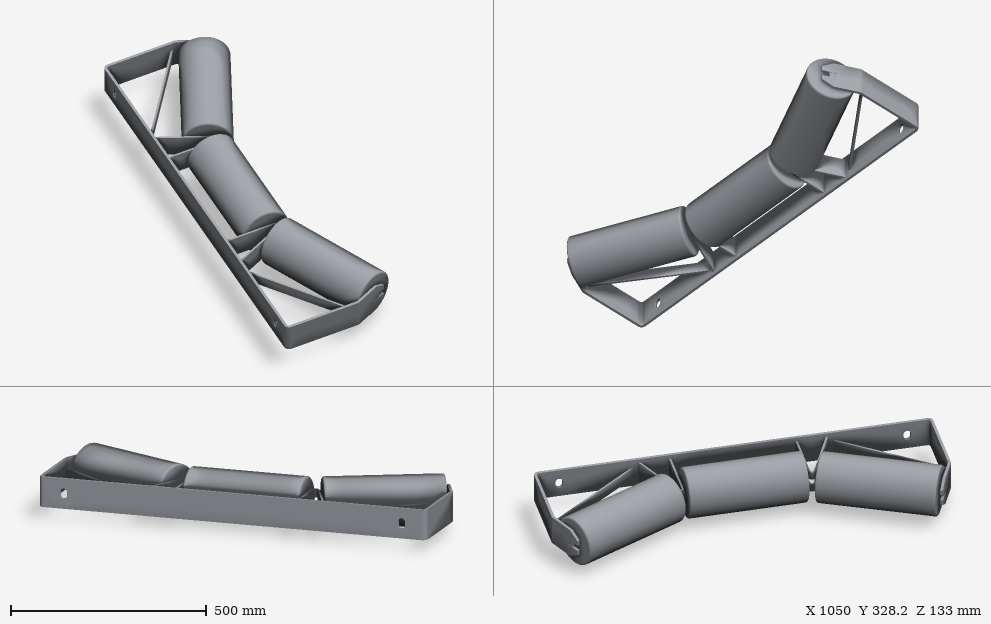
import cadquery as cq
import math

frame_length = 1050.0
frame_width = 80.0
strap_thickness = 7.0
strap_bend_radius = 14.0

roller_length = 315.0
roller_diameter = 133.0
roller_edge_radius = 5.0
tilt = 25.0
middle_roller_y = 125.0
side_roller_x = 339.0
side_roller_y = 203.0

axle_depth = 18.0
axle_width = 16.0
bracket_gap = 6.0
slot_reach = 63.0
slot_depth = 19.0

arm_gap = 5.0
arm_tip = 29.0
arm_corner_length = 30.0
arm_corner_width = 18.0

bracket_thickness = 5.0
bracket_width = 60.0
bracket_bend_radius = 10.0

strut_thickness = 5.0
strut_width = 30.0
strut_foot_x = 262.0
strut_top_y = 197.0

mount_x = 458.0
mount_width = 19.0
mount_height = 27.0

half_length = frame_length / 2
inner_x = half_length - strap_thickness
strap_inner_radius = strap_bend_radius - strap_thickness
seat = roller_length / 2 + bracket_gap
arm_inner = roller_length / 2 + arm_gap
arm_outer = arm_inner + strap_thickness
axle_half_length = seat + bracket_thickness
sin_tilt = math.sin(math.radians(tilt))
cos_tilt = math.cos(math.radians(tilt))


def place_left(part):
    """Move a part from the roller's own axes to the left roller's position."""
    return part.rotate((0, 0, 0), (0, 0, 1), -tilt).translate((-side_roller_x, side_roller_y, 0))


def place_middle(part):
    """Move a part from the roller's own axes to the middle roller's position."""
    return part.translate((0, middle_roller_y, 0))


def left_point(along, across):
    """Point given along and across the left roller's axis."""
    x = -side_roller_x + along * cos_tilt + across * sin_tilt
    y = side_roller_y - along * sin_tilt + across * cos_tilt
    return (x, y)


def mirrored(part):
    """Copy a left part onto the right side."""
    return part.mirror("YZ")


def across_width(outline, width):
    """Extrude a closed XY outline symmetrically about Z = 0."""
    return outline.close().extrude(width).translate((0, 0, -width / 2))


def make_roller():
    """Roller along X, centred on the origin, with its rectangular axle."""
    shell = cq.Workplane("YZ", origin=(-roller_length / 2, 0, 0))
    shell = shell.circle(roller_diameter / 2).extrude(roller_length)
    shell = shell.faces("<X or >X").edges().fillet(roller_edge_radius)
    axle = cq.Workplane("XY").box(2 * axle_half_length, axle_depth, axle_width)
    return shell.union(axle)


def make_axle_slot(side):
    """Open-topped slot at one end of a roller; side is -1 or 1 along its axis."""
    height = slot_reach + axle_depth / 2
    slot = cq.Workplane("XY").box(slot_depth, height, axle_width)
    x = side * (roller_length + slot_depth) / 2
    y = (slot_reach - axle_depth / 2) / 2
    return slot.translate((x, y, 0))


def plane_y(along, x):
    """Y at a given x on the plane square to the left roller's axis, at a distance along it."""
    across = (x + side_roller_x - along * cos_tilt) / sin_tilt
    return left_point(along, across)[1]


def round_corner(strap, corner, radius):
    """Round the strap edge that runs along Z through a corner of its outline."""
    edge = cq.selectors.NearestToPointSelector((*corner, 0))
    return strap.edges("|Z").edges(edge).fillet(radius)


def make_strap():
    """Left half of the strap: base, upright and tilted arm."""
    outer_knee_y = plane_y(-arm_outer, -half_length)
    inner_knee_y = plane_y(-arm_inner, -inner_x)
    outline = (
        cq.Workplane("XY")
        .moveTo(0, 0)
        .lineTo(-half_length, 0)
        .lineTo(-half_length, outer_knee_y)
        .lineTo(*left_point(-arm_outer, arm_tip))
        .lineTo(*left_point(-arm_inner, arm_tip))
        .lineTo(-inner_x, inner_knee_y)
        .lineTo(-inner_x, strap_thickness)
        .lineTo(0, strap_thickness)
    )
    half = across_width(outline, frame_width)
    half = round_corner(half, (-half_length, 0), strap_bend_radius)
    half = round_corner(half, (-half_length, outer_knee_y), strap_bend_radius)
    half = round_corner(half, (-inner_x, strap_thickness), strap_inner_radius)
    half = round_corner(half, (-inner_x, inner_knee_y), strap_inner_radius)
    return half


def make_arm_corners():
    """Wedges that taper the tip of the left arm, in the roller's own axes."""
    edge_z = frame_width / 2
    outline = cq.Workplane("YZ", origin=(-arm_outer, 0, 0)).polyline(
        [
            (arm_tip, edge_z),
            (arm_tip - arm_corner_length, edge_z),
            (arm_tip, edge_z - arm_corner_width),
        ]
    )
    corner = outline.close().extrude(strap_thickness)
    return corner.union(corner.mirror("XY"))


def make_bracket():
    """Sheet folded over a round top: one upright leg and one leg square to the left roller."""
    radius = bracket_bend_radius
    inner = radius - bracket_thickness
    foot = strap_thickness
    cx = -seat - radius
    cy = plane_y(seat + radius, cx)

    def on_bend(bend_radius, degrees):
        angle = math.radians(degrees)
        return (cx + bend_radius * math.cos(angle), cy + bend_radius * math.sin(angle))

    end_angle = 180 - tilt
    lean = math.tan(math.radians(tilt))

    def leg_foot(bend_radius):
        x, y = on_bend(bend_radius, end_angle)
        return (x - (y - foot) * lean, foot)

    outline = (
        cq.Workplane("XY")
        .moveTo(cx + radius, foot)
        .lineTo(cx + radius, cy)
        .threePointArc(on_bend(radius, end_angle / 2), on_bend(radius, end_angle))
        .lineTo(*leg_foot(radius))
        .lineTo(*leg_foot(inner))
        .lineTo(*on_bend(inner, end_angle))
        .threePointArc(on_bend(inner, end_angle / 2), on_bend(inner, 0))
        .lineTo(cx + inner, foot)
    )
    return across_width(outline, bracket_width)


def make_strut():
    """Diagonal plate from the base up to the left upright."""
    run = inner_x - strut_foot_x
    rise = strut_top_y - strap_thickness
    slant = math.hypot(run, rise)
    outline = (
        cq.Workplane("XY")
        .moveTo(-strut_foot_x, strap_thickness)
        .lineTo(-inner_x, strut_top_y)
        .lineTo(-inner_x, strut_top_y - strut_thickness * slant / run)
        .lineTo(-strut_foot_x - strut_thickness * slant / rise, strap_thickness)
    )
    return across_width(outline, strut_width)


def make_mount_slot():
    """Upright slot through the base."""
    slot = cq.Workplane("XZ").center(-mount_x, 0).slot2D(mount_height, mount_width, 90)
    return slot.extrude(-strap_thickness)


def make_frame():
    """Strap, arms, brackets and struts as one welded frame, symmetric about X = 0."""
    half = make_strap().cut(place_left(make_arm_corners()))
    half = half.union(make_bracket()).union(make_strut())
    half = half.cut(place_left(make_axle_slot(-1))).cut(place_left(make_axle_slot(1)))
    half = half.cut(place_middle(make_axle_slot(-1)))
    half = half.cut(make_mount_slot())
    return half.union(mirrored(half))


frame = make_frame()
left_roller = place_left(make_roller())
middle_roller = place_middle(make_roller())
right_roller = mirrored(left_roller)
rollers = [left_roller, middle_roller, right_roller]

result = cq.Compound.makeCompound([frame.val(), *[roller.val() for roller in rollers]])